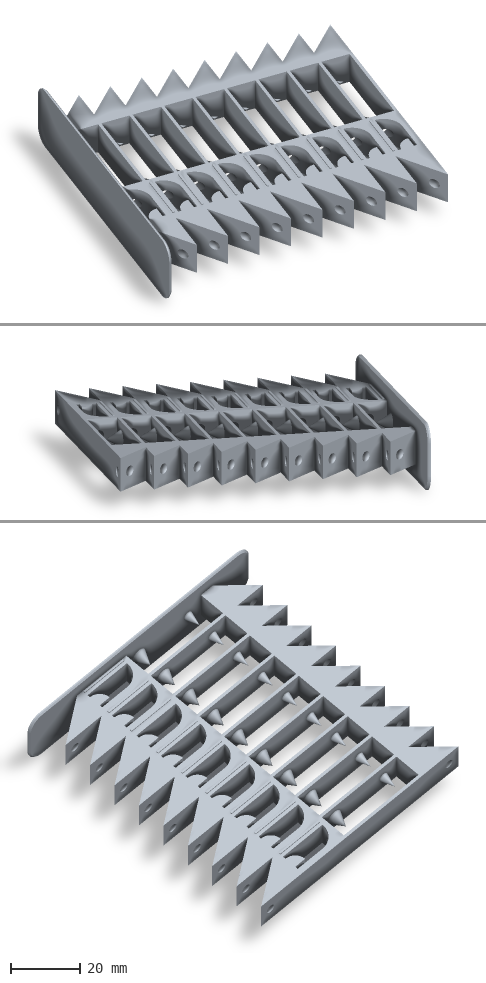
import cadquery as cq

overall_length = 91.0
plate_thickness = 0.9
wall = 1.0

plate_width = 89.3
plate_height = 20.0
plate_corner_radius = 5.0
plate_inner_chamfer = 0.5

section_count = 9
section_pitch = (overall_length - plate_thickness) / section_count
body_height = 10.0
body_top = body_height / 2

tooth_tip_x = 40.0
left_root_x = -29.7
right_root_x = 25.5

window_left_x = -24.8
window_right_x = 5.5
spike_height = 4.7
narrow_spike_x = -19.6
narrow_spike_radius = 1.55
wide_spike_x = 0.4
wide_spike_radius = 2.55

tip_hole_diameter = 3.0
tip_hole_x = 36.2

pocket_left_x = 7.2
pocket_right_x = 23.2
pocket_middle_x = (pocket_left_x + pocket_right_x) / 2
pocket_depth = body_height - wall
pocket_front_y = 2.0
pocket_back_y = 8.0
pocket_corner_radius = pocket_back_y - pocket_front_y
tab_radius = 4.0
tab_gap = 1.0
bar_front_y = 0.3
bar_width = 0.6
bar_height = 0.4
shifted_bar_section = 2
shifted_bar_offset = -0.8

side_hole_diameter = tip_hole_diameter
side_hole_y = 5.4


def make_plate():
    """Upright end plate with rounded corners and a chamfered inner rim."""
    return (
        cq.Workplane("XY")
        .box(plate_width, plate_thickness, plate_height, centered=(True, False, True))
        .edges("|Y")
        .fillet(plate_corner_radius)
        .faces(">Y")
        .chamfer(plate_inner_chamfer)
    )


def make_body():
    """Body whose two sides are rows of saw teeth."""
    right_side = []
    left_side = []
    for index in range(section_count):
        front_y = plate_thickness + index * section_pitch
        back_y = front_y + section_pitch
        right_side += [(right_root_x, front_y), (tooth_tip_x, back_y)]
        left_side += [(left_root_x, front_y), (-tooth_tip_x, back_y)]
    outline = right_side + left_side[::-1]
    return (
        cq.Workplane("XY", origin=(0, 0, -body_top))
        .polyline(outline)
        .close()
        .extrude(body_height)
    )


def make_window(front_y):
    """Rectangular opening that leaves a cross wall at the back of the section."""
    return cq.Workplane("XY", origin=(window_left_x, front_y, 0)).box(
        window_right_x - window_left_x,
        section_pitch - wall,
        body_height,
        centered=(False, False, True),
    )


def make_spike(x, radius, base_y):
    """Cone pointing along +Y."""
    cone = cq.Solid.makeCone(radius, 0, spike_height, cq.Vector(x, base_y, 0), cq.Vector(0, 1, 0))
    return cq.Workplane("XY").add(cone)


def make_pocket(front_y):
    """Pocket open at the top, with a quarter-round tab standing in from its right side."""
    back_y = pocket_back_y
    tab_back_y = back_y - tab_gap
    return (
        cq.Workplane("XY", origin=(0, front_y, body_top))
        .moveTo(pocket_left_x, pocket_front_y)
        .radiusArc((pocket_left_x + pocket_corner_radius, back_y), pocket_corner_radius)
        .lineTo(pocket_right_x, back_y)
        .lineTo(pocket_right_x, tab_back_y)
        .lineTo(pocket_right_x - tab_radius, tab_back_y)
        .radiusArc((pocket_right_x, tab_back_y - tab_radius), -tab_radius)
        .lineTo(pocket_right_x, pocket_front_y)
        .close()
        .extrude(-pocket_depth)
    )


def make_side_hole(front_y):
    """Cylinder along X through the wall between a window and its pocket, ending in the pocket."""
    return (
        cq.Workplane("YZ", origin=(window_right_x, front_y + side_hole_y, 0))
        .circle(side_hole_diameter / 2)
        .extrude(pocket_middle_x - window_right_x)
    )


def make_bar(bar_y):
    """Low bar standing on the top face, as long as the pocket."""
    return cq.Workplane("XY", origin=(pocket_left_x, bar_y, body_top)).box(
        pocket_right_x - pocket_left_x, bar_width, bar_height, centered=False
    )


def make_tip_hole(x):
    """Cylinder along Y through every tooth tip on one side."""
    return (
        cq.Workplane("XZ", origin=(x, plate_thickness, 0))
        .circle(tip_hole_diameter / 2)
        .extrude(-section_count * section_pitch)
    )


body = make_body()
for side in (-1, 1):
    body = body.cut(make_tip_hole(side * tip_hole_x))

for index in range(section_count):
    front_y = plate_thickness + index * section_pitch
    body = body.cut(make_window(front_y)).cut(make_pocket(front_y)).cut(make_side_hole(front_y))
    bar_y = front_y + bar_front_y
    if index == shifted_bar_section:
        bar_y += shifted_bar_offset
    body = body.union(make_bar(bar_y))

result = body.union(make_plate())

for index in range(section_count):
    front_y = plate_thickness + index * section_pitch
    result = result.union(make_spike(narrow_spike_x, narrow_spike_radius, front_y))
    result = result.union(make_spike(wide_spike_x, wide_spike_radius, front_y))